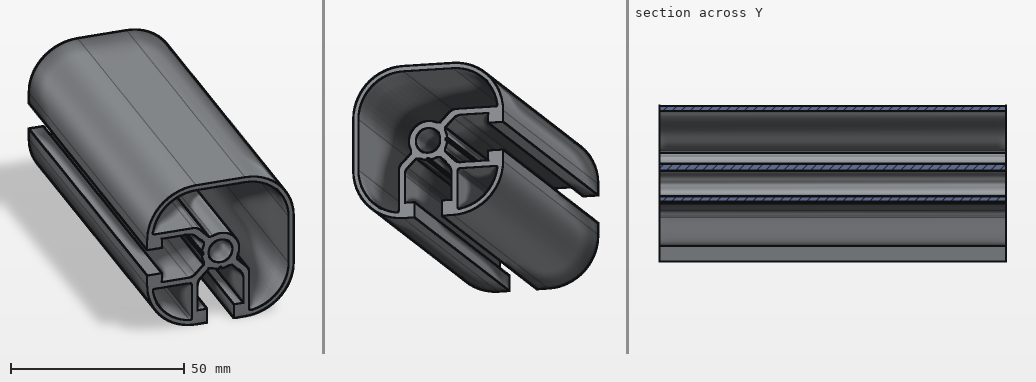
import cadquery as cq
import math

LENGTH = 100.0
SIZE = 45.0
CORNER_RADIUS = 15.0
SKIN = 1.6

SLOT_OPENING = 8.2
CHANNEL_WIDTH = 14.0
CHANNEL_WALL = 1.8
LIP_DEPTH = 4.5
BEND_RADIUS = 3.0

BORE_DIAMETER = 7.3
HUB_DIAMETER = 11.5
HUB_WAIST = 5.1
HUB_FILLET = 2.0
NOTCH_HALF_WIDTH = 0.5
NOTCH_DEPTH = 0.7
NOTCH_FILLET = 0.2
WEB_OFFSET = 1.6

CELL_FILLET = 0.6
CELL_CORNER_FILLET = 1.0
SELECT_MARGIN = 0.1

HALF_SIZE = SIZE / 2
CHANNEL_HALF = CHANNEL_WIDTH / 2
WALL_OUTER = CHANNEL_HALF + CHANNEL_WALL
LIP_INNER = HALF_SIZE - LIP_DEPTH
THROAT = HUB_WAIST / 2
HUB_RADIUS = HUB_DIAMETER / 2
SLOT_ANGLES = (0, -90)
WEB_ANGLES = (0, -90, -180)


def block(y_min, y_max, z_min, z_max):
    """Full-length rectangular bar between the given limits."""
    return (
        cq.Workplane("YZ")
        .center((y_min + y_max) / 2, (z_min + z_max) / 2)
        .rect(y_max - y_min, z_max - z_min)
        .extrude(LENGTH)
    )


def cylinder(diameter):
    return cq.Workplane("YZ").circle(diameter / 2).extrude(LENGTH)


def rounded_bar(size, corner_radius):
    bar = block(-size / 2, size / 2, -size / 2, size / 2)
    return bar.edges("|X").fillet(corner_radius)


def turned(body, angle):
    return body.rotate((0, 0, 0), (1, 0, 0), -angle)


def edges_within(y_min, y_max, z_min, z_max):
    """Selector for edges centred within the given limits."""
    return cq.selectors.BoxSelector(
        (0, y_min - SELECT_MARGIN, z_min - SELECT_MARGIN),
        (LENGTH, y_max + SELECT_MARGIN, z_max + SELECT_MARGIN),
    )


def funnel(half_width, throat, throat_half):
    """Bar opening from a narrow throat at 45 degrees to a wide channel toward -Y."""
    bend = throat + half_width - throat_half
    body = (
        cq.Workplane("YZ")
        .moveTo(-throat, -throat_half)
        .lineTo(-bend, -half_width)
        .lineTo(-HALF_SIZE, -half_width)
        .lineTo(-HALF_SIZE, half_width)
        .lineTo(-bend, half_width)
        .lineTo(-throat, throat_half)
        .close()
        .extrude(LENGTH)
    )
    bends = edges_within(-bend, -bend, -HALF_SIZE, HALF_SIZE)
    return body.edges("|X").edges(bends).fillet(BEND_RADIUS)


def channel_space():
    """Open space of one slot: flared channel behind a narrower opening."""
    wide = funnel(CHANNEL_HALF, THROAT, THROAT - WEB_OFFSET)
    wide = wide.intersect(block(-LIP_INNER, 0, -HALF_SIZE, HALF_SIZE))
    opening = block(-HALF_SIZE, -LIP_INNER, -SLOT_OPENING / 2, SLOT_OPENING / 2)
    return wide.union(opening)


def hub():
    """Round boss blended by concave fillets into the three webs, with two notches."""
    center_far = HUB_WAIST + HUB_FILLET
    center_distance = HUB_RADIUS + HUB_FILLET
    center_near = math.sqrt(center_distance**2 - center_far**2)
    contact = center_far * HUB_RADIUS / center_distance

    corner = block(-contact, 0, 0, contact)
    for y, z in ((-center_far, center_near), (-center_near, center_far)):
        corner = corner.cut(cylinder(2 * HUB_FILLET).translate((0, y, z)))

    body = cylinder(HUB_DIAMETER)
    for angle in WEB_ANGLES:
        body = body.union(turned(corner, angle))

    notch = (
        cq.Workplane("YZ")
        .moveTo(-HUB_RADIUS, -NOTCH_HALF_WIDTH)
        .lineTo(-HUB_RADIUS + NOTCH_DEPTH, 0)
        .lineTo(-HUB_RADIUS, NOTCH_HALF_WIDTH)
        .close()
        .extrude(LENGTH)
        .edges("|X and >Y")
        .fillet(NOTCH_FILLET)
    )
    for angle in SLOT_ANGLES:
        body = body.cut(turned(notch, angle))
    return body


outer = rounded_bar(SIZE, CORNER_RADIUS)
cavity = rounded_bar(SIZE - 2 * SKIN, CORNER_RADIUS - SKIN)

cell = cavity.intersect(block(-HALF_SIZE, -WALL_OUTER, -HALF_SIZE, -WALL_OUTER))
cell = cell.edges("|X").edges("<Y or <Z").fillet(CELL_FILLET)
cell_corner = edges_within(-WALL_OUTER, -WALL_OUTER, -WALL_OUTER, -WALL_OUTER)
cell = cell.edges("|X").edges(cell_corner).fillet(CELL_CORNER_FILLET)

chamber = cavity
for angle in SLOT_ANGLES:
    envelope = funnel(WALL_OUTER, THROAT - WEB_OFFSET, THROAT)
    chamber = chamber.cut(turned(envelope, angle))
chamber = chamber.cut(block(-HALF_SIZE, 0, -HALF_SIZE, 0)).cut(hub())
tips = edges_within(-HALF_SIZE, -LIP_INNER, WALL_OUTER, WALL_OUTER) + edges_within(
    WALL_OUTER, WALL_OUTER, -HALF_SIZE, -LIP_INNER
)
chamber = chamber.edges("|X").edges(tips).fillet(CELL_FILLET)

rail = outer.cut(chamber).cut(cell)
for angle in SLOT_ANGLES:
    rail = rail.cut(turned(channel_space(), angle).cut(hub()))
rail = rail.cut(cylinder(BORE_DIAMETER))

result = rail.translate((-LENGTH / 2, 0, 0))